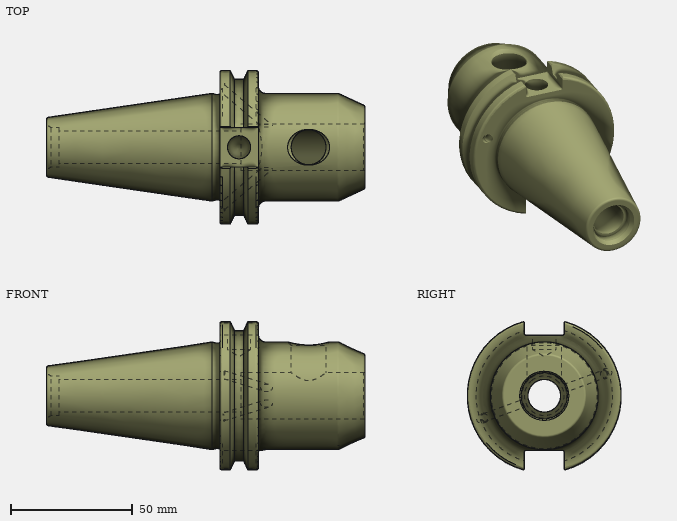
import math
import cadquery as cq

taper_length = 68.25
projection = 63.0
small_end_x = -taper_length
flange_start = 3.175
flange_end = 19.05
flange_middle = (flange_start + flange_end) / 2

gauge_diameter = 44.45
taper_ratio = 7 / 24
small_end_diameter = gauge_diameter - taper_ratio * taper_length
neck_diameter = 43.6
neck_relief_end = 1.55
neck_fillet = 0.45
body_diameter = gauge_diameter
body_fillet = 3.0
nose_angle = math.radians(25)
nose_length = 11.0

outer_edge_radius = 1.0

flange_diameter = 63.5
groove_bottom_diameter = 56.2
groove_bottom_width = 3.8
groove_flank_angle = math.radians(26)

slot_width = 16.3
slot_floor_top = 25.0
slot_floor_bottom = 22.6
slot_edge_chamfer = 0.5
slot_floor_fillet = 0.5

dimple_diameter = 9.53
dimple_depth = 6.0
drill_point_angle = math.radians(118)

tool_bore_diameter = 19.05
tool_bore_depth = 51.0
tool_bore_mouth_diameter = 20.25
stud_hole_diameter = 13.39
stud_pilot_diameter = 16.3
stud_pilot_depth = 5.2
stud_mouth_diameter = 18.5
stud_mouth_angle = math.radians(30)

clamp_x = 39.75
clamp_diameter = 14.35
clamp_mouth_diameter = 17.3

coolant_radius = 26.85
coolant_position_angle = 20
coolant_tilt = math.radians(42)
coolant_mouth_diameter = 4.0
coolant_mouth_depth = 1.0
coolant_hole_diameter = 3.24
coolant_end_radius = tool_bore_diameter / 4


def revolve_about_x(profile):
    return profile.close().revolve(360, (0, 0, 0), (1, 0, 0))


def circles_at(body, x, radius):
    """Circular edges of the given radius around the X axis at station x."""
    tolerance = 0.01
    return [
        edge
        for edge in body.edges("%CIRCLE").vals()
        if abs(edge.arcCenter().x - x) < tolerance and abs(edge.radius() - radius) < tolerance
    ]


def make_body():
    end_radius = small_end_diameter / 2
    gauge_radius = gauge_diameter / 2
    neck_radius = neck_diameter / 2
    flange_radius = flange_diameter / 2
    body_radius = body_diameter / 2
    groove_radius = groove_bottom_diameter / 2

    groove_half_bottom = groove_bottom_width / 2
    groove_half_top = groove_half_bottom + (flange_radius - groove_radius) * math.tan(groove_flank_angle)
    nose_start = projection - nose_length
    nose_radius = body_radius - nose_length * math.tan(nose_angle)

    profile = (
        cq.Workplane("XY")
        .moveTo(small_end_x, 0)
        .lineTo(small_end_x, end_radius)
        .lineTo(0, gauge_radius)
        .lineTo(neck_relief_end, neck_radius)
        .lineTo(flange_start - neck_fillet, neck_radius)
        .radiusArc((flange_start, neck_radius + neck_fillet), -neck_fillet)
        .lineTo(flange_start, flange_radius)
        .lineTo(flange_middle - groove_half_top, flange_radius)
        .lineTo(flange_middle - groove_half_bottom, groove_radius)
        .lineTo(flange_middle + groove_half_bottom, groove_radius)
        .lineTo(flange_middle + groove_half_top, flange_radius)
        .lineTo(flange_end, flange_radius)
        .lineTo(flange_end, body_radius + body_fillet)
        .radiusArc((flange_end + body_fillet, body_radius), -body_fillet)
        .lineTo(nose_start, body_radius)
        .lineTo(projection, nose_radius)
        .lineTo(projection, 0)
    )
    rounded_corners = (
        (small_end_x, end_radius),
        (flange_start, flange_radius),
        (flange_end, flange_radius),
        (nose_start, body_radius),
        (projection, nose_radius),
    )
    body = revolve_about_x(profile)
    for x, radius in rounded_corners:
        body = body.newObject(circles_at(body, x, radius)).fillet(outer_edge_radius)
    return body


def make_bore():
    stud_radius = stud_hole_diameter / 2
    pilot_radius = stud_pilot_diameter / 2
    stud_mouth_radius = stud_mouth_diameter / 2
    tool_radius = tool_bore_diameter / 2
    tool_mouth_radius = tool_bore_mouth_diameter / 2

    stud_mouth_depth = (stud_mouth_radius - pilot_radius) / math.tan(stud_mouth_angle)
    tool_bore_floor = projection - tool_bore_depth
    tool_chamfer = tool_mouth_radius - tool_radius

    profile = (
        cq.Workplane("XY")
        .moveTo(small_end_x, 0)
        .lineTo(small_end_x, stud_mouth_radius)
        .lineTo(small_end_x + stud_mouth_depth, pilot_radius)
        .lineTo(small_end_x + stud_pilot_depth, pilot_radius)
        .lineTo(small_end_x + stud_pilot_depth, stud_radius)
        .lineTo(tool_bore_floor, stud_radius)
        .lineTo(tool_bore_floor, tool_radius)
        .lineTo(projection - tool_chamfer, tool_radius)
        .lineTo(projection, tool_mouth_radius)
        .lineTo(projection, 0)
    )
    return revolve_about_x(profile)


def make_drive_slot(floor_height):
    """Slot open toward +Z with a filleted floor and chamfered edges at the flange rim.

    It runs on past the flange, over the fillet that joins the flange to the body.
    """
    half_width = slot_width / 2
    rim_half_width = half_width + slot_edge_chamfer
    flange_radius = flange_diameter / 2
    rim_height = math.sqrt(flange_radius**2 - rim_half_width**2)
    chamfer_foot = rim_height - slot_edge_chamfer
    slot_length = flange_end + body_fillet - flange_start
    return (
        cq.Workplane("YZ", origin=(flange_start, 0, 0))
        .moveTo(-half_width, floor_height)
        .lineTo(-half_width, chamfer_foot)
        .lineTo(-rim_half_width, rim_height)
        .lineTo(-rim_half_width, flange_radius)
        .lineTo(rim_half_width, flange_radius)
        .lineTo(rim_half_width, rim_height)
        .lineTo(half_width, chamfer_foot)
        .lineTo(half_width, floor_height)
        .close()
        .extrude(slot_length)
        .edges("|X and <Z")
        .fillet(slot_floor_fillet)
    )


def make_dimple():
    radius = dimple_diameter / 2
    point_height = radius / math.tan(drill_point_angle / 2)
    return (
        cq.Workplane("XZ", origin=(flange_middle, 0, slot_floor_top))
        .lineTo(radius, 0)
        .lineTo(radius, -dimple_depth)
        .lineTo(0, -dimple_depth - point_height)
        .close()
        .revolve(360, (0, 0, 0), (0, 1, 0))
    )


def make_clamp_hole():
    """Radial hole from the body's top to the bore, with a 45 degree countersink."""
    radius = clamp_diameter / 2
    mouth_radius = clamp_mouth_diameter / 2
    body_radius = body_diameter / 2
    return (
        cq.Workplane("XZ", origin=(clamp_x, 0, 0))
        .lineTo(radius, 0)
        .lineTo(radius, body_radius - (mouth_radius - radius))
        .lineTo(mouth_radius, body_radius)
        .lineTo(0, body_radius)
        .close()
        .revolve(360, (0, 0, 0), (0, 1, 0))
    )


def make_coolant_hole():
    """Stepped hole that slants from the flange face inward to the tool bore."""
    mouth_centre = cq.Vector(flange_start, coolant_radius, 0)
    direction = cq.Vector(math.cos(coolant_tilt), -math.sin(coolant_tilt), 0)
    passage_length = (coolant_radius - coolant_end_radius) / math.sin(coolant_tilt)
    lead_in = coolant_mouth_diameter
    start = mouth_centre - direction * lead_in
    mouth = cq.Solid.makeCylinder(
        coolant_mouth_diameter / 2, lead_in + coolant_mouth_depth, start, direction
    )
    passage = cq.Solid.makeCylinder(
        coolant_hole_diameter / 2, passage_length, mouth_centre, direction
    )
    return cq.Workplane(mouth.fuse(passage))


def make_part():
    part = make_body().cut(make_bore())
    upper_slot = make_drive_slot(slot_floor_top)
    lower_slot = make_drive_slot(slot_floor_bottom).rotate((0, 0, 0), (1, 0, 0), 180)
    part = part.cut(upper_slot).cut(lower_slot)
    part = part.cut(make_dimple()).cut(make_clamp_hole())
    for half_turn in (0, 180):
        angle = coolant_position_angle + half_turn
        part = part.cut(make_coolant_hole().rotate((0, 0, 0), (1, 0, 0), angle))
    return part


result = make_part()